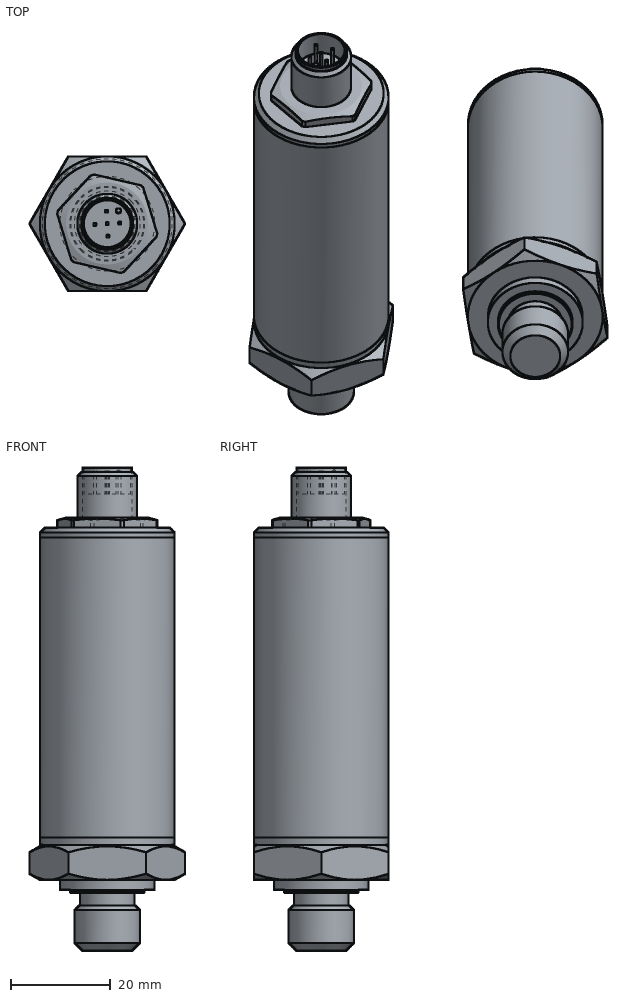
import cadquery as cq
import math

TOTAL_HEIGHT = 96.7
THREAD_LENGTH = 12.2
FLANGE_HEIGHT = 2.0
HEX_HEIGHT = 7.0
COLLAR_HEIGHT = 1.5
TUBE_LENGTH = 60.0
CAP_HEIGHT = 2.0
NUT_HEIGHT = 2.0

FLANGE_BOTTOM = THREAD_LENGTH
HEX_BOTTOM = FLANGE_BOTTOM + FLANGE_HEIGHT
COLLAR_BOTTOM = HEX_BOTTOM + HEX_HEIGHT
TUBE_BOTTOM = COLLAR_BOTTOM + COLLAR_HEIGHT
CAP_BOTTOM = TUBE_BOTTOM + TUBE_LENGTH
NUT_BOTTOM = CAP_BOTTOM + CAP_HEIGHT
BARREL_BOTTOM = NUT_BOTTOM + NUT_HEIGHT

HEX_HALF_SECTOR = 30.0

THREAD_DIAMETER = 13.16
THREAD_TIP_DIAMETER = 10.0
NECK_DIAMETER = 11.0
NECK_LENGTH = 3.1
THREAD_START_DIAMETER = 11.2
FLANGE_DIAMETER = 19.0
HEX_WIDTH = 27.0
HEX_TOP_DIAMETER = 26.0
HEX_CHAMFER_ANGLE = 30.0

SEAL_DIAMETER = 15.0
SEAL_HEIGHT = 0.6
SEAL_CHAMFER = 0.2

HOUSING_DIAMETER = 27.0
CAP_TOP_DIAMETER = 25.0

NUT_WIDTH = 18.0
NUT_CORNER_DIAMETER = 20.4
NUT_TOP_DIAMETER = 16.4
NUT_CHAMFER_ANGLE = 15.0
NUT_TURN = -13.0
BARREL_DIAMETER = 12.0
BARREL_CHAMFER = 0.8

INSERT_DIAMETER = 10.0
INSERT_PROTRUSION = 0.9
SOCKET_DIAMETER = 9.4
SOCKET_DEPTH = 5.3
PIN_DIAMETER = 0.6
PIN_CIRCLE_RADIUS = 2.5
OUTER_PIN_COUNT = 4
PIN_RECESS = 0.7
PIN_TURN = 3.0
KEY_DIAMETER = 1.0
KEY_RADIUS = 3.43
KEY_ANGLE = 49.0
KEY_RECESS = 0.35
INSERT_BOTTOM = BARREL_BOTTOM
SOCKET_FLOOR = TOTAL_HEIGHT - SOCKET_DEPTH


def cylinder(diameter, bottom, top):
    return cq.Workplane("XY").workplane(offset=bottom).circle(diameter / 2).extrude(top - bottom)


def revolved(profile):
    """Turn a closed outline of (radius, height) points around the Z axis."""
    return cq.Workplane("XZ").polyline(profile).close().revolve(360, (0, 0, 0), (0, 1, 0))


def hexagon(width, bottom, height):
    """Hexagonal prism with two corners on the X axis."""
    across_corners = width / math.cos(math.radians(HEX_HALF_SECTOR))
    return cq.Workplane("XY").workplane(offset=bottom).polygon(6, across_corners).extrude(height)


def make_base():
    thread_radius = THREAD_DIAMETER / 2
    neck_radius = NECK_DIAMETER / 2
    start_radius = THREAD_START_DIAMETER / 2
    tip_radius = THREAD_TIP_DIAMETER / 2
    neck_bottom = FLANGE_BOTTOM - NECK_LENGTH
    stud = revolved([
        (0, 0),
        (tip_radius, 0),
        (thread_radius, thread_radius - tip_radius),
        (thread_radius, neck_bottom - (thread_radius - start_radius)),
        (start_radius, neck_bottom),
        (neck_radius, neck_bottom),
        (neck_radius, FLANGE_BOTTOM),
        (0, FLANGE_BOTTOM),
    ])
    flange = cylinder(FLANGE_DIAMETER, FLANGE_BOTTOM, HEX_BOTTOM)

    corner_radius = HEX_WIDTH / 2 / math.cos(math.radians(HEX_HALF_SECTOR))
    bottom_radius = HEX_WIDTH / 2
    top_radius = HEX_TOP_DIAMETER / 2
    chamfer_slope = math.tan(math.radians(HEX_CHAMFER_ANGLE))
    chamfer_envelope = revolved([
        (0, HEX_BOTTOM),
        (bottom_radius, HEX_BOTTOM),
        (corner_radius, HEX_BOTTOM + (corner_radius - bottom_radius) * chamfer_slope),
        (corner_radius, COLLAR_BOTTOM - (corner_radius - top_radius) * chamfer_slope),
        (top_radius, COLLAR_BOTTOM),
        (0, COLLAR_BOTTOM),
    ])
    hex_section = hexagon(HEX_WIDTH, HEX_BOTTOM, HEX_HEIGHT).intersect(chamfer_envelope)
    collar = cylinder(HOUSING_DIAMETER, COLLAR_BOTTOM, TUBE_BOTTOM)
    return stud.union(flange).union(hex_section).union(collar)


def make_seal():
    ring = cylinder(SEAL_DIAMETER, FLANGE_BOTTOM - SEAL_HEIGHT, FLANGE_BOTTOM)
    ring = ring.faces("<Z").chamfer(SEAL_CHAMFER)
    return ring.cut(cylinder(NECK_DIAMETER, FLANGE_BOTTOM - SEAL_HEIGHT, FLANGE_BOTTOM))


def make_tube():
    return cylinder(HOUSING_DIAMETER, TUBE_BOTTOM, CAP_BOTTOM)


def make_cap():
    cap = cylinder(HOUSING_DIAMETER, CAP_BOTTOM, NUT_BOTTOM)
    return cap.faces(">Z").chamfer((HOUSING_DIAMETER - CAP_TOP_DIAMETER) / 2)


def make_shell():
    nut_top_radius = NUT_TOP_DIAMETER / 2
    nut_corner_radius = NUT_CORNER_DIAMETER / 2
    nut_drop = (nut_corner_radius - nut_top_radius) * math.tan(math.radians(NUT_CHAMFER_ANGLE))
    nut_envelope = revolved([
        (0, NUT_BOTTOM),
        (nut_corner_radius, NUT_BOTTOM),
        (nut_corner_radius, BARREL_BOTTOM - nut_drop),
        (nut_top_radius, BARREL_BOTTOM),
        (0, BARREL_BOTTOM),
    ])
    nut = hexagon(NUT_WIDTH, NUT_BOTTOM, NUT_HEIGHT).rotate((0, 0, 0), (0, 0, 1), NUT_TURN)
    nut = nut.intersect(nut_envelope)

    barrel = cylinder(BARREL_DIAMETER, BARREL_BOTTOM, TOTAL_HEIGHT - INSERT_PROTRUSION)
    barrel = barrel.faces(">Z").chamfer(BARREL_CHAMFER)
    bore = cylinder(INSERT_DIAMETER, INSERT_BOTTOM, TOTAL_HEIGHT)
    return nut.union(barrel).cut(bore)


def make_insert():
    cup = cylinder(INSERT_DIAMETER, INSERT_BOTTOM, TOTAL_HEIGHT)
    cup = cup.cut(cylinder(SOCKET_DIAMETER, SOCKET_FLOOR, TOTAL_HEIGHT))

    pin_top = TOTAL_HEIGHT - PIN_RECESS
    insert = cup.union(cylinder(PIN_DIAMETER, SOCKET_FLOOR, pin_top))
    for index in range(OUTER_PIN_COUNT):
        angle = PIN_TURN + 360 / OUTER_PIN_COUNT * index
        x = PIN_CIRCLE_RADIUS * math.cos(math.radians(angle))
        y = PIN_CIRCLE_RADIUS * math.sin(math.radians(angle))
        insert = insert.union(cylinder(PIN_DIAMETER, SOCKET_FLOOR, pin_top).translate((x, y, 0)))

    key_x = KEY_RADIUS * math.cos(math.radians(KEY_ANGLE))
    key_y = KEY_RADIUS * math.sin(math.radians(KEY_ANGLE))
    key_radius = KEY_DIAMETER / 2
    key_top = TOTAL_HEIGHT - KEY_RECESS
    key = revolved([
        (0, SOCKET_FLOOR),
        (key_radius, SOCKET_FLOOR),
        (key_radius, key_top - key_radius),
        (0, key_top),
    ])
    return insert.union(key.translate((key_x, key_y, 0)))


base = make_base()
seal = make_seal()
tube = make_tube()
cap = make_cap()
shell = make_shell()
insert = make_insert()

result = cq.Compound.makeCompound([
    base.val(),
    seal.val(),
    tube.val(),
    cap.val(),
    shell.val(),
    insert.val(),
])